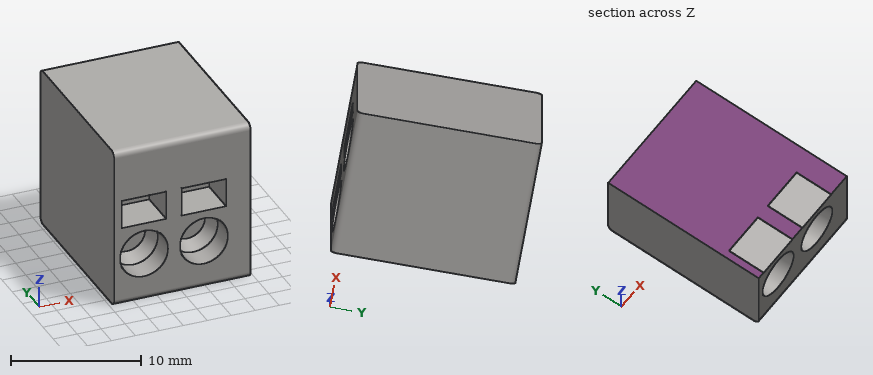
import cadquery as cq

WIDTH = 11.4
DEPTH = 14.4
HEIGHT = 13.5
EDGE_RADIUS = 0.5

POLE_COUNT = 2
POLE_PITCH = 5.0
FIRST_POLE_X = 2.5

ENTRY_Z = 4.1
MOUTH_DIAMETER = 4.0
FLOOR_DIAMETER = 3.0
MOUTH_DEPTH = 2.0
TAPER_LENGTH = 1.3
ENTRY_DEPTH = MOUTH_DEPTH + TAPER_LENGTH

SLOT_WIDTH = 3.7
SLOT_HEIGHT = 2.4
SLOT_CENTER_Z = 7.95
SLOT_DEPTH = ENTRY_DEPTH


def make_housing():
    """Block with its bottom front left corner at the origin and rounded edges along X."""
    block = cq.Workplane("XY").box(WIDTH, DEPTH, HEIGHT, centered=False)
    return block.edges("|X").fillet(EDGE_RADIUS)


def make_wire_entry(x):
    """Revolved cutter for a straight mouth and tapered end, entering from the front face."""
    mouth_radius = MOUTH_DIAMETER / 2
    floor_radius = FLOOR_DIAMETER / 2
    half_section = (
        cq.Workplane("XY")
        .moveTo(0, 0)
        .lineTo(mouth_radius, 0)
        .lineTo(mouth_radius, MOUTH_DEPTH)
        .lineTo(floor_radius, ENTRY_DEPTH)
        .lineTo(0, ENTRY_DEPTH)
        .close()
    )
    cutter = half_section.revolve(360, (0, 0, 0), (0, 1, 0))
    return cutter.translate((x, 0, ENTRY_Z))


def make_release_slot(x):
    """Rectangular blind cutter entering from the front face."""
    cutter = cq.Workplane("XY").box(SLOT_WIDTH, SLOT_DEPTH, SLOT_HEIGHT, centered=(True, False, True))
    return cutter.translate((x, 0, SLOT_CENTER_Z))


result = make_housing()
for pole in range(POLE_COUNT):
    pole_x = FIRST_POLE_X + pole * POLE_PITCH
    result = result.cut(make_wire_entry(pole_x))
    result = result.cut(make_release_slot(pole_x))